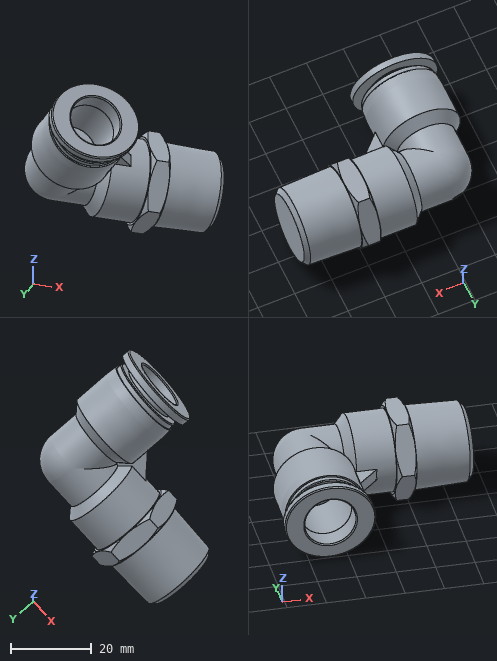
import cadquery as cq
import math


elbow_radius = 8.0
shoulder_start = 8.5
thread_branch_radius = 21 / 2
thread_shoulder_end = 10.85
tube_shoulder_end = 11.15
tube_shoulder_radius = 21.1 / 2
tube_bulge_radius = 21.2 / 2
tube_bulge_end = 21.05
tube_taper_radius = 10.4
tube_taper_end = 24.0
mouth_radius = 20.0 / 2
mouth_end = 25.55
mouth_chamfer = 0.25

rib_thickness = 3.05
rib_leg = 26.4

bore_radius = 13.0 / 2
bore_floor = tube_shoulder_end
neck_radius = 14.8 / 2
neck_end = 24.1
flange_start = 27.15
collar_end = 29.3
flange_width = 23.1
flange_height = 20.5
collar_chamfer = 0.3

nut_flats = 22.2
nut_start = 20.95
nut_length = 5.1
nut_end = nut_start + nut_length
nut_corner_radius = nut_flats / math.sqrt(3)
nut_face_radius = nut_flats / 2
nut_chamfer_depth = (nut_corner_radius - nut_face_radius) * math.tan(math.radians(30))
fitting_end = 52.5 - flange_width / 2
thread_start_radius = 10.7
thread_end_radius = 10.3
thread_chamfer = 1.2


def turned_along_x(profile):
    """Solid turned about X from (distance, radius) points."""
    return cq.Workplane("XY").polyline(profile).close().revolve(360, (0, 0), (1, 0))


def turned_along_minus_y(profile):
    """Solid turned about Y from (distance, radius) points, with distance towards -Y."""
    points = [(radius, -distance) for distance, radius in profile]
    return cq.Workplane("XY").polyline(points).close().revolve(360, (0, 0), (0, 1))


def tube_cylinder(radius, start, end):
    """Cylinder on the tube axis between two distances from the origin."""
    return turned_along_minus_y([(start, 0), (start, radius), (end, radius), (end, 0)])


def make_housing():
    thread_branch = turned_along_x([
        (0, 0),
        (0, elbow_radius),
        (shoulder_start, elbow_radius),
        (thread_shoulder_end, thread_branch_radius),
        (nut_start, thread_branch_radius),
        (nut_start, 0),
    ])
    tube_branch = turned_along_minus_y([
        (0, 0),
        (0, elbow_radius),
        (shoulder_start, elbow_radius),
        (tube_shoulder_end, tube_shoulder_radius),
        (tube_bulge_end, tube_bulge_radius),
        (tube_taper_end, tube_taper_radius),
        (tube_taper_end, mouth_radius),
        (mouth_end - mouth_chamfer, mouth_radius),
        (mouth_end, mouth_radius - mouth_chamfer),
        (mouth_end, 0),
    ])
    rib = (
        cq.Workplane("XY")
        .polyline([(0, 0), (rib_leg, 0), (0, -rib_leg)])
        .close()
        .extrude(rib_thickness / 2, both=True)
        .intersect(cq.Workplane("XY").box(2 * nut_start, 2 * tube_bulge_end, rib_thickness))
    )
    outer_corner = cq.Workplane("XY").sphere(elbow_radius)
    bore = tube_cylinder(bore_radius, bore_floor, mouth_end)
    collar_seat = tube_cylinder(neck_radius, neck_end, mouth_end)
    body = thread_branch.union(tube_branch).union(outer_corner).union(rib)
    return body.cut(bore).cut(collar_seat).solids()


def make_collar():
    neck = tube_cylinder(neck_radius, neck_end, flange_start)
    flange = (
        cq.Workplane("XZ", origin=(0, -flange_start, 0))
        .ellipse(flange_width / 2, flange_height / 2)
        .extrude(collar_end - flange_start)
        .faces("<Y")
        .chamfer(collar_chamfer)
    )
    bore = turned_along_minus_y([
        (neck_end, 0),
        (neck_end, bore_radius),
        (collar_end - collar_chamfer, bore_radius),
        (collar_end, bore_radius + collar_chamfer),
        (collar_end, 0),
    ])
    return neck.union(flange).cut(bore).solids()


def make_threaded_nut():
    hexagon = (
        cq.Workplane("YZ", origin=(nut_start, 0, 0))
        .polygon(6, 2 * nut_corner_radius)
        .extrude(nut_length)
    )
    corner_chamfers = turned_along_x([
        (nut_start, 0),
        (nut_start, nut_face_radius),
        (nut_start + nut_chamfer_depth, nut_corner_radius),
        (nut_end - nut_chamfer_depth, nut_corner_radius),
        (nut_end, nut_face_radius),
        (nut_end, 0),
    ])
    thread = turned_along_x([
        (nut_end, 0),
        (nut_end, thread_start_radius),
        (fitting_end - thread_chamfer, thread_end_radius),
        (fitting_end, thread_end_radius - thread_chamfer),
        (fitting_end, 0),
    ])
    return hexagon.intersect(corner_chamfers).union(thread).solids()


housing = make_housing()
collar = make_collar()
threaded_nut = make_threaded_nut()

result = cq.Compound.makeCompound([housing.val(), collar.val(), threaded_nut.val()])